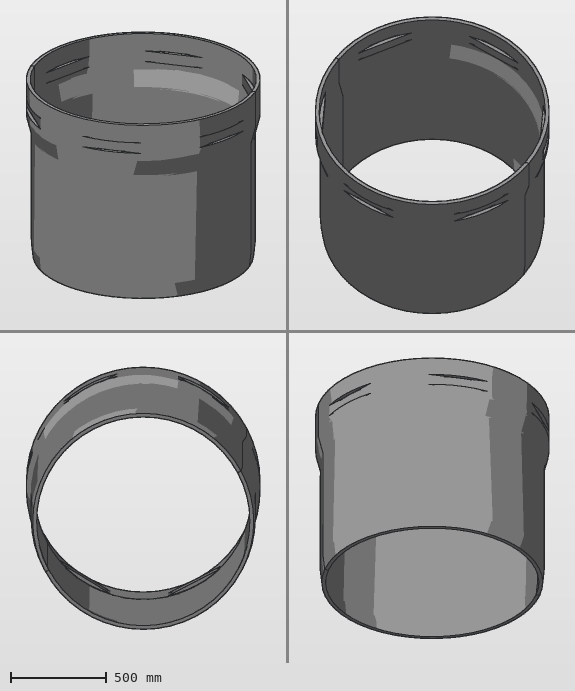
import cadquery as cq

height = 1000.0
collar_radius = 610.0
barrel_diameter = 1170.0
bore_diameter = 1130.0
barrel_radius = barrel_diameter / 2
wall = (barrel_diameter - bore_diameter) / 2

lead_in_height = 80.0
lead_in_depth = 9.0
cone_bottom = 700.0
cone_top = 800.0
bend_radius = 37.0
bend_selection_margin = 1.0

dent_count = 6
dent_height = 60.0
dent_rim_distance = 100.0
dent_top = height - dent_rim_distance
dent_bottom = dent_top - dent_height
dent_outer_flat = collar_radius - wall
dent_inner_flat = dent_outer_flat - wall

cut_size = 2.5 * collar_radius


def make_sleeve():
    """Revolved shell: tapered lead-in, barrel, cone and collar, with rounded bends."""
    barrel_bore = barrel_radius - wall
    collar_bore = collar_radius - wall
    shell = (
        cq.Workplane("XZ")
        .moveTo(barrel_radius - lead_in_depth, 0)
        .lineTo(barrel_radius, lead_in_height)
        .lineTo(barrel_radius, cone_bottom)
        .lineTo(collar_radius, cone_top)
        .lineTo(collar_radius, height)
        .lineTo(collar_bore, height)
        .lineTo(collar_bore, cone_top)
        .lineTo(barrel_bore, cone_bottom)
        .lineTo(barrel_bore, lead_in_height)
        .lineTo(barrel_bore - lead_in_depth, 0)
        .close()
        .revolve(360, (0, 0, 0), (0, 1, 0))
    )
    bend_zone = cq.selectors.BoxSelector(
        (-cut_size, -cut_size, cone_bottom - bend_selection_margin),
        (cut_size, cut_size, cone_top + bend_selection_margin),
    )
    bends = shell.edges("%CIRCLE").edges(bend_zone)
    return bends.fillet(bend_radius)


def beyond_flat(radius, flat_distance):
    """Slice of a disc on the -Y side, cut off by a flat at the given distance from the axis."""
    disc = cq.Workplane("XY").workplane(offset=dent_bottom).circle(radius).extrude(dent_height)
    keep = (
        cq.Workplane("XY")
        .box(cut_size, cut_size, dent_height, centered=(True, False, False))
        .translate((0, -flat_distance - cut_size, dent_bottom))
    )
    return disc.intersect(keep)


def add_dents(sleeve):
    """Press equally spaced flats inward, keeping the wall thickness behind each one."""
    backing = beyond_flat(collar_radius - wall / 2, dent_inner_flat)
    recess = beyond_flat(collar_radius + wall, dent_outer_flat)
    for index in range(dent_count):
        angle = index * 360 / dent_count
        sleeve = sleeve.union(backing.rotate((0, 0, 0), (0, 0, 1), angle))
        sleeve = sleeve.cut(recess.rotate((0, 0, 0), (0, 0, 1), angle))
    return sleeve


def make_half_shell(sleeve, side):
    """Half of the sleeve on the +Y (side = 1) or -Y (side = -1) side of the seam plane."""
    block_center = (0, side * cut_size / 2, height / 2)
    half_space = cq.Workplane("XY").box(cut_size, cut_size, cut_size).translate(block_center)
    return sleeve.intersect(half_space).solids().val()


sleeve = add_dents(make_sleeve())
half_shells = [make_half_shell(sleeve, side) for side in (-1, 1)]

result = cq.Compound.makeCompound(half_shells)